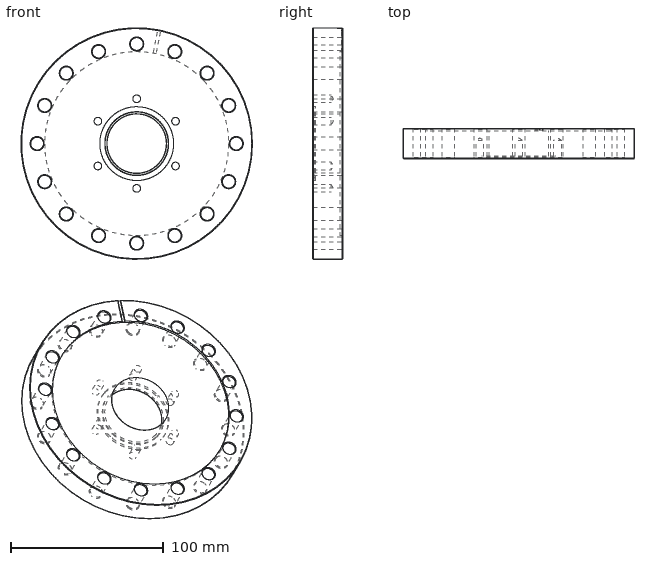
import cadquery as cq
import math

disc_diameter = 151.6
disc_thickness = 19.9
rim_chamfer = 0.5
half_thickness = disc_thickness / 2

bolt_count = 16
bolt_circle_diameter = 130.4
bolt_hole_diameter = 8.3
bolt_hole_chamfer = 0.5
bolt_chamfer_depth = 0.8

bore_diameter = 38.8
recess_diameter = 48.4
recess_wall_depth = 2.0
knife_diameter = 41.8
knife_tip_depth = 0.8
knife_base_diameter = 41.4
ledge_depth = 1.4

back_recess_diameter = 120.5
back_recess_depth = 1.8
groove_width = 2.0
groove_depth = 1.0
groove_angle = 360 / bolt_count / 2

tapped_count = 6
tapped_circle_diameter = 58.7
tapped_hole_diameter = 5.0
tapped_hole_depth = 12.1
drill_point_angle = 118.0


def revolve_about_y(points):
    """Revolve a closed (radius, y) outline about the Y axis."""
    return cq.Workplane("XY").polyline(points).close().revolve(360, (0, 0, 0), (0, 1, 0))


def ring_positions(count, circle_diameter):
    """Evenly spaced (x, z) centres, the first one at the top."""
    angles = [math.radians(90 + 360 * i / count) for i in range(count)]
    radius = circle_diameter / 2
    return [(radius * math.cos(a), radius * math.sin(a)) for a in angles]


def cut_ring(body, cutter, count, circle_diameter):
    """Cut one copy of the cutter at each place on the ring."""
    for x, z in ring_positions(count, circle_diameter):
        body = body.cut(cutter.translate((x, 0, z)))
    return body


def make_disc():
    """Plain disc with chamfered rims."""
    back_face = cq.Workplane("XZ", origin=(0, half_thickness, 0))
    disc = back_face.circle(disc_diameter / 2).extrude(disc_thickness)
    return disc.edges("%CIRCLE").chamfer(rim_chamfer)


def make_seal_opening():
    """Bore and recess; the recess floor rises inward to the knife edge."""
    front = -half_thickness
    return revolve_about_y([
        (0, front),
        (recess_diameter / 2, front),
        (recess_diameter / 2, front + recess_wall_depth),
        (knife_diameter / 2, front + knife_tip_depth),
        (knife_base_diameter / 2, front + ledge_depth),
        (bore_diameter / 2, front + ledge_depth),
        (bore_diameter / 2, half_thickness),
        (0, half_thickness),
    ])


def make_back_recess():
    """Flat round recess in the back face."""
    back_face = cq.Workplane("XZ", origin=(0, half_thickness, 0))
    return back_face.circle(back_recess_diameter / 2).extrude(back_recess_depth)


def make_leak_groove():
    """Radial groove in the back face, from inside the recess out past the rim."""
    groove = (
        cq.Workplane("XY")
        .box(groove_width, groove_depth, disc_diameter / 2, centered=(True, False, False))
        .translate((0, half_thickness - groove_depth, back_recess_diameter / 4))
    )
    return groove.rotate((0, 0, 0), (0, 1, 0), groove_angle)


def make_bolt_cutter():
    """Through hole widened by a chamfer at each face."""
    radius = bolt_hole_diameter / 2
    mouth_radius = radius + bolt_hole_chamfer
    chamfer_start = half_thickness - bolt_chamfer_depth
    return revolve_about_y([
        (0, -half_thickness),
        (mouth_radius, -half_thickness),
        (radius, -chamfer_start),
        (radius, chamfer_start),
        (mouth_radius, half_thickness),
        (0, half_thickness),
    ])


def make_tapped_cutter():
    """Blind hole from the front face, ending in a drill point."""
    radius = tapped_hole_diameter / 2
    point_length = radius / math.tan(math.radians(drill_point_angle / 2))
    floor = -half_thickness + tapped_hole_depth
    return revolve_about_y([
        (0, -half_thickness),
        (radius, -half_thickness),
        (radius, floor),
        (0, floor + point_length),
    ])


result = make_disc()
for opening in (make_seal_opening(), make_back_recess(), make_leak_groove()):
    result = result.cut(opening)
result = cut_ring(result, make_bolt_cutter(), bolt_count, bolt_circle_diameter)
result = cut_ring(result, make_tapped_cutter(), tapped_count, tapped_circle_diameter)